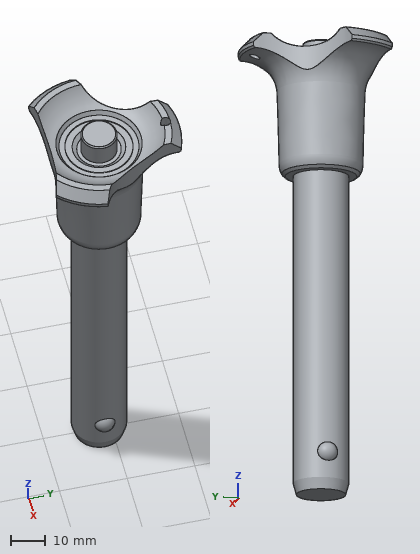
import cadquery as cq

total_height = 133.7

shank_radius = 8.0
tip_radius = 7.1
tip_height = 3.2

ball_radius = 3.1
ball_reach = 9.65
ball_z = 11.0

sleeve_top_depth = 14.4
sleeve_round_depth = 35.8
sleeve_shoulder_depth = 38.6
sleeve_bottom_depth = 39.4
rim_top_depth = 2.9
rim_bottom_depth = 4.0
flare_edge_depth = 4.6
flare_mid_depth = 9.4
cup_mid_depth = 3.1
cup_end_depth = 4.4
cup_floor_depth = 5.6
inner_floor_depth = 5.9
button_ledge_depth = 6.9

sleeve_top_radius = 12.7
sleeve_low_radius = 12.1
sleeve_round_mid_radius = 11.9
sleeve_shoulder_radius = 11.3
sleeve_bottom_radius = 10.3
rim_radius = 23.8
rim_crest_radius = 21.0
flare_edge_radius = 23.3
cup_radius = 19.0
flare_mid_radius = 14.3
cup_mid_radius = 15.3
cup_end_radius = 12.4
cup_floor_radius = 11.5
inner_floor_radius = 9.8
well_top_radius = 7.7
button_ledge_radius = 6.4

button_radius = 5.2
button_chamfer = 0.4

front_scallop_y = -14.3
front_scallop_radius = 61.0
side_scallop_radius = 23.45
side_scallop_x = 31.7
side_scallop_y = 19.0
back_wing_width = 16.6

lanyard_hole_diameter = 2.9
lanyard_hole_y = 19.7

SIDES = (-1, 1)


def at_depth(depth):
    """Height above the shank tip of a point given by its depth below the top."""
    return total_height - depth


def make_shank():
    """Round shank with a tapered tip, reaching up into the sleeve."""
    return (
        cq.Workplane("XZ")
        .moveTo(0, 0)
        .lineTo(tip_radius, 0)
        .lineTo(shank_radius, tip_height)
        .lineTo(shank_radius, at_depth(sleeve_round_depth))
        .lineTo(0, at_depth(sleeve_round_depth))
        .close()
        .revolve(360, (0, 0), (0, 1))
    )


def make_locking_ball(side):
    """Ball showing through the shank wall; side is -1 or +1 along X."""
    ball_x = side * (ball_reach - ball_radius)
    return cq.Workplane("XY", origin=(ball_x, 0, ball_z)).sphere(ball_radius)


def make_handle():
    """Sleeve flaring out to a round rim, with a cup sunk into its top."""
    return (
        cq.Workplane("XZ")
        .moveTo(0, at_depth(sleeve_bottom_depth))
        .lineTo(sleeve_bottom_radius, at_depth(sleeve_bottom_depth))
        .lineTo(sleeve_shoulder_radius, at_depth(sleeve_shoulder_depth))
        .threePointArc(
            (sleeve_round_mid_radius, at_depth((sleeve_round_depth + sleeve_shoulder_depth) / 2)),
            (sleeve_low_radius, at_depth(sleeve_round_depth)),
        )
        .lineTo(sleeve_top_radius, at_depth(sleeve_top_depth))
        .threePointArc(
            (flare_mid_radius, at_depth(flare_mid_depth)),
            (flare_edge_radius, at_depth(flare_edge_depth)),
        )
        .lineTo(rim_radius, at_depth(rim_bottom_depth))
        .lineTo(rim_radius, at_depth(rim_top_depth))
        .lineTo(rim_crest_radius, at_depth(0))
        .lineTo(cup_radius, at_depth(0))
        .threePointArc(
            (cup_mid_radius, at_depth(cup_mid_depth)),
            (cup_end_radius, at_depth(cup_end_depth)),
        )
        .lineTo(cup_floor_radius, at_depth(cup_floor_depth))
        .lineTo(inner_floor_radius, at_depth(cup_floor_depth))
        .lineTo(inner_floor_radius, at_depth(inner_floor_depth))
        .lineTo(well_top_radius, at_depth(inner_floor_depth))
        .lineTo(button_ledge_radius, at_depth(button_ledge_depth))
        .lineTo(0, at_depth(button_ledge_depth))
        .close()
        .revolve(360, (0, 0), (0, 1))
    )


def make_upright_cutter(x, y, radius):
    """Upright cylinder through the full height of the flared head."""
    return (
        cq.Workplane("XY", origin=(x, y, at_depth(sleeve_top_depth)))
        .circle(radius)
        .extrude(sleeve_top_depth)
    )


def make_back_wing_trim(side):
    """Block that makes one flank of the back wing straight, beyond the side scallop's centre line."""
    wing_flank_x = side * back_wing_width / 2
    return (
        cq.Workplane("XY", origin=(wing_flank_x, side_scallop_y, at_depth(sleeve_top_depth)))
        .rect(side * rim_radius, rim_radius, centered=False)
        .extrude(sleeve_top_depth)
    )


def cut_wings(handle):
    """Take three scallops out of the rim and drill the lanyard hole in the back wing."""
    front_scallop_center_y = front_scallop_y - front_scallop_radius
    handle = handle.cut(make_upright_cutter(0, front_scallop_center_y, front_scallop_radius))
    for side in SIDES:
        handle = handle.cut(make_upright_cutter(side * side_scallop_x, side_scallop_y, side_scallop_radius))
        handle = handle.cut(make_back_wing_trim(side))
    return handle.cut(make_upright_cutter(0, lanyard_hole_y, lanyard_hole_diameter / 2))


def make_button():
    """Plunger button standing in the cup, level with the top of the wings."""
    return (
        cq.Workplane("XY", origin=(0, 0, at_depth(button_ledge_depth)))
        .circle(button_radius)
        .extrude(button_ledge_depth)
        .faces(">Z")
        .chamfer(button_chamfer)
    )


result = cut_wings(make_handle()).union(make_button()).union(make_shank())
for side in SIDES:
    result = result.union(make_locking_ball(side))